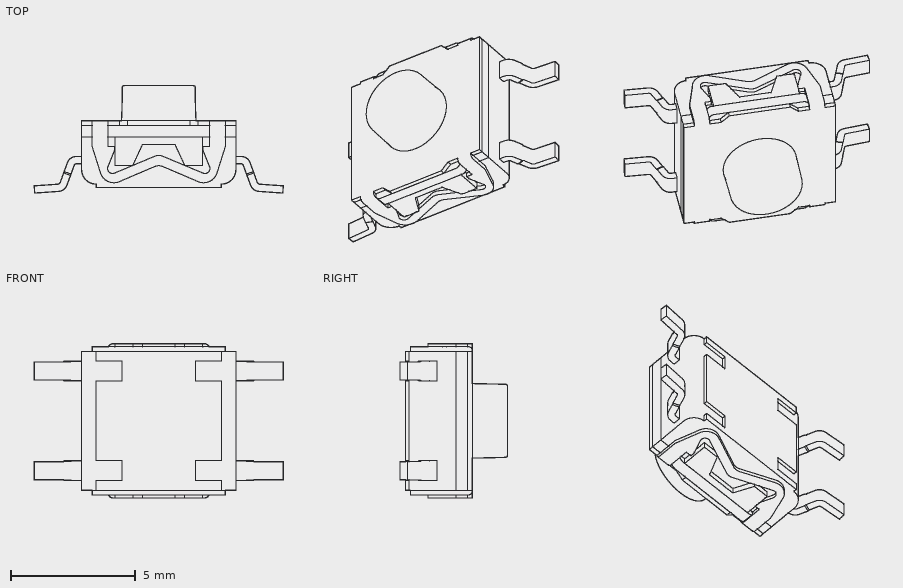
import cadquery as cq
import math


OVERALL_LENGTH = 10.0
OVERALL_WIDTH = 6.2
BODY_LENGTH = 6.2
BODY_WIDTH = 5.58
HALF_LENGTH = BODY_LENGTH / 2
BODY_END = BODY_WIDTH / 2
CATCH_END = OVERALL_WIDTH / 2

STANDOFF = 0.14
BASE_TOP = 2.03
FLANGE_TOP = 2.5
SHEET = 0.19
COVER_TOP = FLANGE_TOP + SHEET
BUTTON_TOP = 4.1

BASE_CORNER_RADIUS = 0.59
SOLE_HALF_LENGTH = HALF_LENGTH - BASE_CORNER_RADIUS
POCKET_LENGTH = 1.03
CATCH_BOTTOM = 0.9
CATCH_HALF_LENGTH = 1.76
NOTCH_HALF_BOTTOM = 1.04
NOTCH_HALF_TOP = 0.65
NOTCH_TOP = 1.74

FLANGE_TAB_HALF_LENGTH = 2.04
FLANGE_TAB_RADIUS = 0.22
BUTTON_RADIUS_AT_COVER = 1.5
BUTTON_RADIUS_AT_TOP = 1.47
BUTTON_EDGE_RADIUS = 0.09

LEG_HALF_LENGTH = 2.67
TAB_HALF_ROOT = 1.58
TAB_HALF_TIP = 1.25
LEG_SHOULDER = 1.65
HOOK_HALF_GAP = 1.78
HOOK_BOTTOM = 1.48
LOBE_OUTER = (2.15, 0.0)
LOBE_INNER = (2.22, 0.4)
LOBE_OUTER_RADIUS = 0.56
LOBE_INNER_RADIUS = 0.2
PEAK_OUTER = 0.92
PEAK_INNER = 1.33
PEAK_RADIUS = 0.43

LEAD_SPACING = 4.0
LEAD_THICKNESS = 0.3
LEAD_WIDTH = 0.8
FOOT_WIDTH = 0.73
LEAD_LEVEL = 1.11
KNEE = (3.47, LEAD_LEVEL)
SHIN_TILT = 20.0
FOOT_TILT = 4.0
FOOT_TIP_LEVEL = -0.07
BEND_RADIUS = 0.25
NARROWING_LEVEL = 0.57
NARROWING_LENGTH = 0.06


def rounded_outline(corners):
    """Closed XY outline through (x, y, radius) corners; radius 0 leaves a corner sharp."""
    points = [cq.Vector(x, y) for x, y, _ in corners]
    edges = []
    first_start = last_end = None
    for i, (x, y, radius) in enumerate(corners):
        corner = points[i]
        start = end = corner
        if radius:
            back = (points[i - 1] - corner).normalized()
            ahead = (points[(i + 1) % len(points)] - corner).normalized()
            half_angle = back.getAngle(ahead) / 2
            setback = radius / math.tan(half_angle)
            start = corner + back * setback
            end = corner + ahead * setback
            inward = (back + ahead).normalized()
            middle = corner + inward * (radius / math.sin(half_angle) - radius)
        if last_end is None:
            first_start = start
        else:
            edges.append(cq.Edge.makeLine(last_end, start))
        if radius:
            edges.append(cq.Edge.makeThreePointArc(start, middle, end))
        last_end = end
    edges.append(cq.Edge.makeLine(last_end, first_start))
    return cq.Workplane("XY").newObject([cq.Wire.assembleEdges(edges)]).toPending()


def mirrored(corners):
    """Corners of a +X half outline followed by their mirror images across X = 0."""
    return corners + [(-x, y, radius) for x, y, radius in reversed(corners) if x]


def slab(half_length, bottom, top, half_width):
    """Box centred on X and Z between two Y levels."""
    box = cq.Workplane("XY").box(2 * half_length, top - bottom, 2 * half_width)
    return box.translate((0, (bottom + top) / 2, 0))


def both_ends(shape):
    """A shape on the +Z end joined with its mirror image on the -Z end."""
    return shape.union(shape.mirror("XY"))


def make_catch():
    """Block on the +Z end of the base that the cover hooks around."""
    outline = mirrored([
        (CATCH_HALF_LENGTH, BASE_TOP, 0),
        (CATCH_HALF_LENGTH, CATCH_BOTTOM, 0),
        (NOTCH_HALF_BOTTOM, CATCH_BOTTOM, 0),
        (NOTCH_HALF_TOP, NOTCH_TOP, 0),
    ])
    block = rounded_outline(outline).extrude(CATCH_END - BODY_END)
    return block.translate((0, 0, BODY_END))


def make_base():
    """Moulded base with its sole, the pockets in the sole and the end catches."""
    outline = mirrored([(HALF_LENGTH, BASE_TOP, 0), (HALF_LENGTH, STANDOFF, BASE_CORNER_RADIUS)])
    base = rounded_outline(outline).extrude(BODY_END, both=True)
    base = base.union(slab(SOLE_HALF_LENGTH, 0, STANDOFF, BODY_END))
    pocket_x = SOLE_HALF_LENGTH - POCKET_LENGTH / 2
    for side in (-1, 1):
        for end in (-1, 1):
            pocket = slab(POCKET_LENGTH / 2, 0, STANDOFF, LEAD_WIDTH / 2)
            base = base.cut(pocket.translate((side * pocket_x, 0, end * LEAD_SPACING / 2)))
    return base.union(both_ends(make_catch()))


def make_actuator():
    """Flange under the cover, its rounded end tabs, and the button on top."""
    tabs = slab(FLANGE_TAB_HALF_LENGTH, BASE_TOP, FLANGE_TOP, CATCH_END)
    tabs = tabs.edges("|Y").fillet(FLANGE_TAB_RADIUS)
    flange = slab(HALF_LENGTH, BASE_TOP, FLANGE_TOP, BODY_END)
    button = (
        cq.Workplane("ZY")
        .moveTo(0, FLANGE_TOP)
        .lineTo(BUTTON_RADIUS_AT_COVER, FLANGE_TOP)
        .lineTo(BUTTON_RADIUS_AT_COVER, COVER_TOP)
        .lineTo(BUTTON_RADIUS_AT_TOP, BUTTON_TOP)
        .lineTo(0, BUTTON_TOP)
        .close()
        .revolve(360, (0, 0, 0), (0, 1, 0))
        .faces(">Y").edges().fillet(BUTTON_EDGE_RADIUS)
    )
    return flange.union(tabs).union(button)


def make_leg():
    """W-shaped strip on the +Z end that frames the catch."""
    outer = [
        (LEG_HALF_LENGTH, COVER_TOP, 0),
        (LEG_HALF_LENGTH, LEG_SHOULDER, 0),
        (*LOBE_OUTER, LOBE_OUTER_RADIUS),
        (0, PEAK_OUTER, PEAK_RADIUS),
    ]
    window = [
        (FLANGE_TAB_HALF_LENGTH, COVER_TOP, 0),
        (FLANGE_TAB_HALF_LENGTH, LEG_SHOULDER, 0),
        (HOOK_HALF_GAP, LEG_SHOULDER, 0),
        (HOOK_HALF_GAP, HOOK_BOTTOM, 0),
        (*LOBE_INNER, LOBE_INNER_RADIUS),
        (0, PEAK_INNER, PEAK_RADIUS),
    ]
    leg = rounded_outline(mirrored(outer)).extrude(SHEET)
    leg = leg.cut(rounded_outline(mirrored(window)).extrude(SHEET))
    return leg.translate((0, 0, BODY_END))


def make_cover():
    """Sheet over the flange, with a leg and a tapered tab at each end and a hole for the button."""
    cover = slab(HALF_LENGTH, FLANGE_TOP, COVER_TOP, BODY_END).union(both_ends(make_leg()))
    cover = cover.edges("|X and >Y and (>Z or <Z)").fillet(SHEET)
    tab = (
        cq.Workplane("XZ", origin=(0, COVER_TOP, 0))
        .polyline([
            (TAB_HALF_ROOT, BODY_END),
            (TAB_HALF_TIP, CATCH_END),
            (-TAB_HALF_TIP, CATCH_END),
            (-TAB_HALF_ROOT, BODY_END),
        ])
        .close()
        .extrude(SHEET)
    )
    button_hole = (
        cq.Workplane("XZ", origin=(0, COVER_TOP, 0)).circle(BUTTON_RADIUS_AT_COVER).extrude(SHEET)
    )
    return cover.union(both_ends(tab)).cut(button_hole)


def lead_bend(corner, before, after):
    """Start, middle and end of the centre line arc that rounds a corner."""
    half_turn = before.getAngle(after) / 2
    setback = BEND_RADIUS * math.tan(half_turn)
    inward = (after - before).normalized()
    middle = corner + inward * (BEND_RADIUS / math.cos(half_turn) - BEND_RADIUS)
    return corner - before * setback, middle, corner + after * setback


def lead_section(point, direction, width):
    """Rectangular lead section of a given Z width, square to the lead direction."""
    plane = cq.Plane(origin=point, xDir=(0, 0, 1), normal=direction)
    return cq.Workplane(plane).rect(width, LEAD_THICKNESS)


def make_lead():
    """Gull-wing lead on the +X side, centred on Z = 0."""
    shin = cq.Vector(math.sin(math.radians(SHIN_TILT)), -math.cos(math.radians(SHIN_TILT)))
    foot = cq.Vector(math.cos(math.radians(FOOT_TILT)), -math.sin(math.radians(FOOT_TILT)))
    knee = cq.Vector(*KNEE)
    tip_x = OVERALL_LENGTH / 2 + LEAD_THICKNESS / 2 * foot.y
    tip = cq.Vector(tip_x, FOOT_TIP_LEVEL)
    to_tip = tip - knee
    shin_length = to_tip.cross(foot).z / shin.cross(foot).z
    heel = knee + shin * shin_length

    along = cq.Vector(1, 0)
    knee_arc = lead_bend(knee, along, shin)
    heel_arc = lead_bend(heel, shin, foot)
    middle_of_change = knee + shin * ((NARROWING_LEVEL - knee.y) / shin.y)
    change_start = middle_of_change - shin * (NARROWING_LENGTH / 2)
    change_end = middle_of_change + shin * (NARROWING_LENGTH / 2)

    root = cq.Vector(HALF_LENGTH, LEAD_LEVEL)
    upper_path = cq.Wire.assembleEdges([
        cq.Edge.makeLine(root, knee_arc[0]),
        cq.Edge.makeThreePointArc(*knee_arc),
        cq.Edge.makeLine(knee_arc[2], change_start),
    ])
    lower_path = cq.Wire.assembleEdges([
        cq.Edge.makeLine(change_end, heel_arc[0]),
        cq.Edge.makeThreePointArc(*heel_arc),
        cq.Edge.makeLine(heel_arc[2], tip),
    ])
    upper = lead_section(root, along, LEAD_WIDTH).sweep(cq.Workplane(upper_path))
    lower = lead_section(change_end, shin, FOOT_WIDTH).sweep(cq.Workplane(lower_path))
    change = (
        lead_section(change_start, shin, LEAD_WIDTH)
        .workplane(offset=NARROWING_LENGTH)
        .rect(FOOT_WIDTH, LEAD_THICKNESS)
        .loft()
    )
    return upper.union(change).union(lower)


base = make_base()
actuator = make_actuator()
cover = make_cover()
leads = []
for end in (-1, 1):
    right_lead = make_lead().translate((0, 0, end * LEAD_SPACING / 2))
    leads.append(right_lead.val())
    leads.append(right_lead.mirror("YZ").val())

result = cq.Compound.makeCompound([base.val(), actuator.val(), cover.val(), *leads])